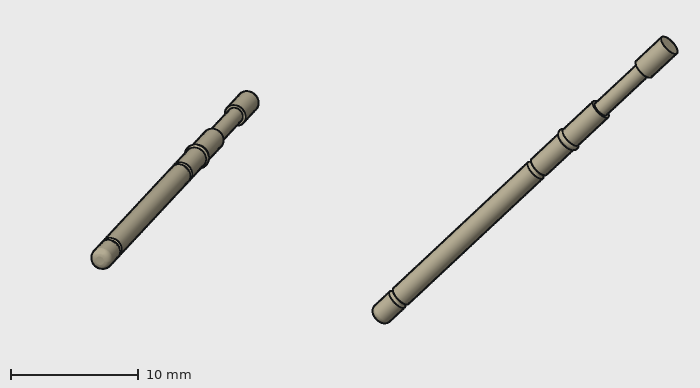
import cadquery as cq

total_length = 34.0
tail_y = -total_length / 2
head_y = total_length / 2

head_diameter = 1.77
head_length = 3.0
stem_diameter = 1.3
stem_length = 5.0

barrel_diameter = 1.75
barrel_length = total_length - head_length - stem_length
tail_round_radius = 0.5

ring_diameter = 2.0
ring_width = 0.5
ring_distance_from_head = 11.75

groove_width = 0.4
groove_depth = 0.163
groove_distances_from_tail = (2.48, 18.6)


def cylinder_along_y(diameter, start_y, length):
    """Solid cylinder on the Y axis, from start_y toward +Y."""
    start_plane = cq.Plane(origin=(0, start_y, 0), xDir=(1, 0, 0), normal=(0, 1, 0))
    return cq.Workplane(start_plane).circle(diameter / 2).extrude(length)


def revolve_about_y(profile):
    """Full turn of a closed XY profile around the Y axis."""
    return profile.close().revolve(360, (0, 0, 0), (0, 1, 0))


def make_barrel():
    barrel = cylinder_along_y(barrel_diameter, tail_y, barrel_length)
    return barrel.faces("<Y").edges().fillet(tail_round_radius)


def make_plunger():
    stem_start = tail_y + barrel_length
    stem = cylinder_along_y(stem_diameter, stem_start, stem_length)
    head = cylinder_along_y(head_diameter, head_y - head_length, head_length)
    return stem.union(head)


def make_press_ring():
    center_y = head_y - ring_distance_from_head
    low_y = center_y - ring_width / 2
    high_y = center_y + ring_width / 2
    barrel_radius = barrel_diameter / 2
    profile = (
        cq.Workplane("XY")
        .moveTo(0, low_y)
        .lineTo(barrel_radius, low_y)
        .threePointArc((ring_diameter / 2, center_y), (barrel_radius, high_y))
        .lineTo(0, high_y)
    )
    return revolve_about_y(profile)


def make_groove_cutter(center_y):
    barrel_radius = barrel_diameter / 2
    outer_radius = ring_diameter / 2
    low_y = center_y - groove_width / 2
    high_y = center_y + groove_width / 2
    profile = (
        cq.Workplane("XY")
        .moveTo(outer_radius, low_y)
        .lineTo(barrel_radius, low_y)
        .threePointArc((barrel_radius - groove_depth, center_y), (barrel_radius, high_y))
        .lineTo(outer_radius, high_y)
    )
    return revolve_about_y(profile)


probe = make_barrel().union(make_press_ring()).union(make_plunger())
for distance in groove_distances_from_tail:
    probe = probe.cut(make_groove_cutter(tail_y + distance))

result = probe